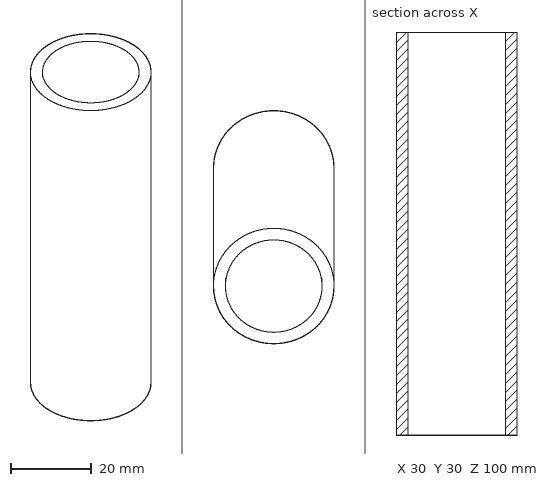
import cadquery as cq

outer_diameter = 30.0
wall_thickness = 3.0
length = 100.0

bore_diameter = outer_diameter - 2 * wall_thickness


def make_tube():
    """Ring section extruded upward from the XY plane."""
    section = cq.Workplane("XY").circle(outer_diameter / 2).circle(bore_diameter / 2)
    return section.extrude(length)


result = make_tube()